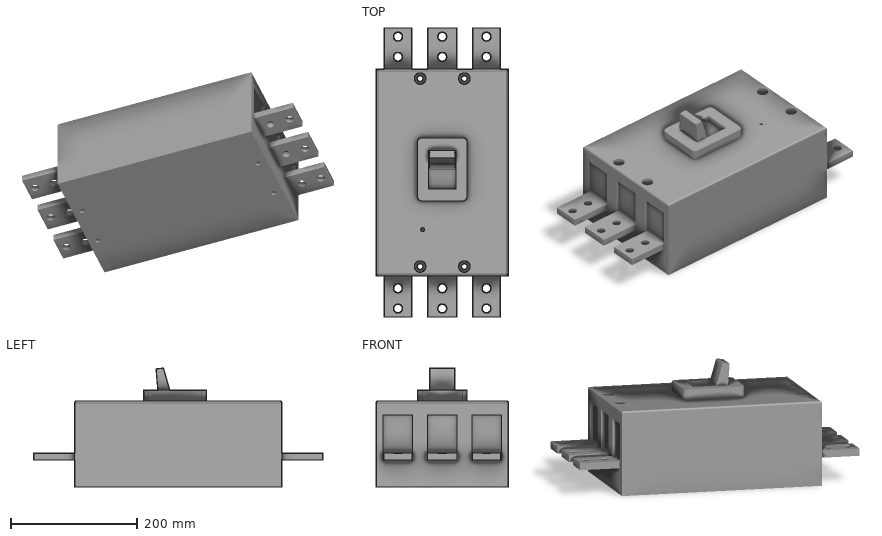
import cadquery as cq
overall_length = 459.0
overall_height = 189.0

body_width = 210.0
body_length = 328.5
body_height = 137.0
rim_radius = 3.0

pole_pitch = 70.0
side_bar_width = 44.0
middle_bar_width = 46.5
bar_thickness = 11.5
bar_bottom = 42.5
bar_hole_diameter = 13.5
bar_hole_chamfer = 0.7
bar_hole_end_distance = 13.8
bar_hole_pitch = 32.0
side_recess_width = 47.0
recess_top = 114.8
recess_depth = 5.0

screw_spacing_x = pole_pitch
screw_spacing_y = 298.5
screw_hole_diameter = 8.5
screw_head_diameter = 18.5
screw_head_depth = 18.5
indicator_x = -31.0
indicator_y = -90.5
indicator_diameter = 6.0
indicator_depth = 9.0

plate_width = 79.0
plate_length = 100.0
plate_top = 153.8
plate_corner_radius = 7.5
plate_y = 5.0

window_width = 43.0
window_back_y = 35.0
window_front_y = -25.5
rocker_top = 148.5
rocker_edge_y = 5.0
rocker_mid_y = -11.0
rocker_mid_z = 147.5
rocker_front_z = 143.0

handle_width = 40.0
handle_tip_back = (35.5, 187.7)
handle_tip_front = (23.5, overall_height)
handle_base_front = (12.0, rocker_top)
handle_tip_radius = 1.0
handle_foot_radius = 6.5
handle_base_back_y = 32.0


def block(width, length, bottom, top, x=0.0, y=0.0):
    """Upright box centred on (x, y) between two heights."""
    return (
        cq.Workplane("XY", origin=(x, y, bottom))
        .rect(width, length)
        .extrude(top - bottom)
    )


def make_body():
    body = block(body_width, body_length, 0, body_height)
    return body.faces(">Z").edges().fillet(rim_radius)


def make_plate():
    plate = block(plate_width, plate_length, body_height, plate_top, y=plate_y)
    return plate.edges("|Z").fillet(plate_corner_radius)


def make_window():
    """Cutter whose underside is a flat ledge and the convex rocker surface."""
    return (
        cq.Workplane("YZ")
        .moveTo(window_back_y, plate_top)
        .lineTo(window_back_y, rocker_top)
        .lineTo(rocker_edge_y, rocker_top)
        .threePointArc((rocker_mid_y, rocker_mid_z), (window_front_y, rocker_front_z))
        .lineTo(window_front_y, plate_top)
        .close()
        .extrude(window_width / 2, both=True)
    )


def make_handle():
    """Leaning, tapered lever that flows into the rocker through a concave fillet."""
    profile = [
        (handle_base_back_y, body_height),
        (handle_base_back_y, rocker_top),
        handle_tip_back,
        handle_tip_front,
        handle_base_front,
        (rocker_edge_y, rocker_top),
        (rocker_edge_y, body_height),
    ]
    handle = cq.Workplane("YZ").polyline(profile).close().extrude(handle_width / 2, both=True)
    for corner, radius in (
        (handle_tip_front, handle_tip_radius),
        (handle_base_front, handle_foot_radius),
    ):
        nearest = cq.selectors.NearestToPointSelector((0, *corner))
        handle = handle.edges(nearest).fillet(radius)
    return handle


def make_recess(x, width, end):
    """Shallow cutter in one end wall; end is -1 or +1 along Y."""
    y = end * (body_length - recess_depth) / 2
    return block(width, recess_depth, bar_bottom, recess_top, x, y)


def make_bar(x, width):
    """Bar through the housing that shows as a drilled terminal at both ends."""
    bar = block(width, overall_length, bar_bottom, bar_bottom + bar_thickness, x)
    outer_y = overall_length / 2 - bar_hole_end_distance
    inner_y = outer_y - bar_hole_pitch
    hole_places = [(x, y) for y in (-outer_y, -inner_y, inner_y, outer_y)]
    holes = (
        cq.Workplane("XY", origin=(0, 0, bar_bottom))
        .pushPoints(hole_places)
        .circle(bar_hole_diameter / 2)
        .extrude(bar_thickness)
    )
    bar = bar.cut(holes)
    return bar.edges("%CIRCLE").edges(">Z").chamfer(bar_hole_chamfer)


def drill_cover(solid):
    """Counterbored screw holes through the housing and the blind indicator hole."""
    solid = (
        solid.copyWorkplane(cq.Workplane("XY", origin=(0, 0, body_height)))
        .rect(screw_spacing_x, screw_spacing_y, forConstruction=True)
        .vertices()
        .cboreHole(screw_hole_diameter, screw_head_diameter, screw_head_depth)
    )
    return (
        solid.copyWorkplane(cq.Workplane("XY", origin=(0, 0, body_height)))
        .center(indicator_x, indicator_y)
        .hole(indicator_diameter, indicator_depth)
    )


poles = [
    (-pole_pitch, side_bar_width, side_recess_width),
    (0.0, middle_bar_width, middle_bar_width),
    (pole_pitch, side_bar_width, side_recess_width),
]

result = drill_cover(make_body())
result = result.union(make_plate()).cut(make_window()).union(make_handle())
for pole_x, bar_width, recess_width in poles:
    for end in (-1, 1):
        result = result.cut(make_recess(pole_x, recess_width, end))
    result = result.union(make_bar(pole_x, bar_width))